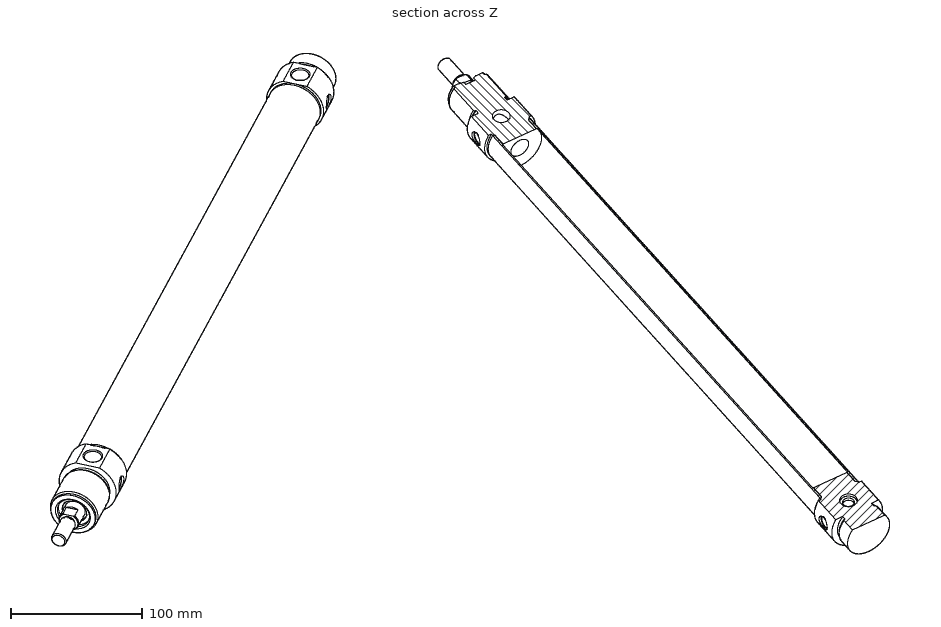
import cadquery as cq

TOTAL_LENGTH = 598.0
REAR_COLLAR_START = 16.0
FRONT_COLLAR_START = 505.0
FRONT_FACE = 564.0
ROD_SHOULDER = 574.0

COLLAR_DIA = 46.0
COLLAR_LENGTH = 24.5
NECK_LENGTH = 2.0
REAR_COLLAR_END = REAR_COLLAR_START + COLLAR_LENGTH
FRONT_COLLAR_END = FRONT_COLLAR_START + COLLAR_LENGTH

SPIGOT_DIA = 38.0
RELIEF_DIA = 36.0
RELIEF_WIDTH = 3.0
NOSE_LENGTH = 2.0
SPIGOT_CHAMFER = (SPIGOT_DIA - RELIEF_DIA) / 2
BEVEL_DIA = 37.0
BEVEL_LENGTH = 1.0

TUBE_DIA = 42.0
TUBE_BORE = 39.5
TUBE_START = REAR_COLLAR_END + NECK_LENGTH
TUBE_END = FRONT_COLLAR_START - NECK_LENGTH
PLUG_LENGTH = 12.0

FLAT_HEIGHT = TUBE_DIA / 2
PORT_DIA = 13.0
PORT_MOUTH_DIA = 15.0
PORT_CHAMFER = (PORT_MOUTH_DIA - PORT_DIA) / 2
REAR_PORT_DEPTH = 11.0
REAR_STEP_DIA = 9.0
REAR_STEP_DEPTH = 2.5

SOCKET_DIA = 9.0
SOCKET_MOUTH_DIA = 11.5
SOCKET_MOUTH_DEPTH = 2.0
SOCKET_DEPTH = 7.0

ROD_DIA = 16.0
ROD_CHAMFER = 0.5
THREAD_DIA = 12.0
THREAD_CHAMFER = 0.9
THREAD_RELIEF_DIA = 10.0
THREAD_RELIEF_WIDTH = 2.0
FLATS_WIDTH = 13.0
FLATS_START = 566.0
RECESS_DIA = 26.0
RECESS_DEPTH = 3.5
RECESS_CHAMFER = 1.0
WIPER_DIA = 20.0
WIPER_DEPTH = 2.0


def disc(diameter, start, end):
    """Solid cylinder on the Y axis between two stations."""
    return cq.Workplane("XZ", origin=(0, -start, 0)).circle(diameter / 2).extrude(end - start)


def taper(start_dia, end_dia, start, end):
    """Solid cone frustum on the Y axis between two stations."""
    start_circle = cq.Workplane("XZ", origin=(0, -start, 0)).circle(start_dia / 2)
    return start_circle.workplane(offset=end - start).circle(end_dia / 2).loft()


def mouthed_hole(plane, mouth_dia, hole_dia, depth, chamfer):
    """Cutter for a blind hole with a chamfered mouth, sunk against the plane's normal."""
    hole = cq.Workplane(plane).circle(hole_dia / 2).extrude(-depth)
    mouth = cq.Workplane(plane).circle(mouth_dia / 2).workplane(offset=-chamfer).circle(hole_dia / 2).loft()
    return hole.union(mouth)


def cut_collar(head, collar_start, port_depth):
    """Cut the top flat, the port in it and a stepped socket on each side of a collar."""
    middle = -(collar_start + COLLAR_LENGTH / 2)
    above_flat = (
        cq.Workplane("XY", origin=(0, middle, FLAT_HEIGHT)).rect(COLLAR_DIA, COLLAR_LENGTH).extrude(COLLAR_DIA)
    )
    head = head.cut(above_flat)
    port_plane = cq.Plane(origin=(0, middle, FLAT_HEIGHT), xDir=(1, 0, 0), normal=(0, 0, 1))
    head = head.cut(mouthed_hole(port_plane, PORT_MOUTH_DIA, PORT_DIA, port_depth, PORT_CHAMFER))
    for side in (-1, 1):
        side_plane = cq.Workplane("YZ", origin=(side * COLLAR_DIA / 2, middle, 0))
        head = head.cut(side_plane.circle(SOCKET_MOUTH_DIA / 2).extrude(-side * SOCKET_MOUTH_DEPTH))
        head = head.cut(side_plane.circle(SOCKET_DIA / 2).extrude(-side * SOCKET_DEPTH))
    return head


def make_rear_head():
    spigot_end = REAR_COLLAR_START - RELIEF_WIDTH
    bevel_start = spigot_end - BEVEL_LENGTH
    head = disc(SPIGOT_DIA, 0, bevel_start)
    head = head.union(taper(SPIGOT_DIA, BEVEL_DIA, bevel_start, spigot_end))
    head = head.union(disc(RELIEF_DIA, spigot_end, REAR_COLLAR_START))
    head = head.union(disc(COLLAR_DIA, REAR_COLLAR_START, REAR_COLLAR_END))
    head = head.union(disc(TUBE_DIA, REAR_COLLAR_END, TUBE_START))
    head = head.union(disc(TUBE_BORE, TUBE_START, TUBE_START + PLUG_LENGTH))
    head = cut_collar(head, REAR_COLLAR_START, REAR_PORT_DEPTH)

    port_middle = -(REAR_COLLAR_START + COLLAR_LENGTH / 2)
    port_floor = cq.Workplane("XY", origin=(0, port_middle, FLAT_HEIGHT - REAR_PORT_DEPTH))
    return head.cut(port_floor.circle(REAR_STEP_DIA / 2).extrude(-REAR_STEP_DEPTH))


def make_front_head():
    spigot_start = FRONT_COLLAR_END + RELIEF_WIDTH
    bevel_end = spigot_start + BEVEL_LENGTH
    spigot_end = FRONT_FACE - NOSE_LENGTH
    head = disc(TUBE_BORE, TUBE_END - PLUG_LENGTH, TUBE_END)
    head = head.union(disc(TUBE_DIA, TUBE_END, FRONT_COLLAR_START))
    head = head.union(disc(COLLAR_DIA, FRONT_COLLAR_START, FRONT_COLLAR_END))
    head = head.union(disc(RELIEF_DIA, FRONT_COLLAR_END, FRONT_FACE))
    head = head.union(taper(BEVEL_DIA, SPIGOT_DIA, spigot_start, bevel_end))
    head = head.union(disc(SPIGOT_DIA, bevel_end, spigot_end).faces("<Y").chamfer(SPIGOT_CHAMFER))

    head = cut_collar(head, FRONT_COLLAR_START, FLAT_HEIGHT)

    face_plane = cq.Plane(origin=(0, -FRONT_FACE, 0), xDir=(1, 0, 0), normal=(0, -1, 0))
    recess_mouth_dia = RECESS_DIA + 2 * RECESS_CHAMFER
    head = head.cut(mouthed_hole(face_plane, recess_mouth_dia, RECESS_DIA, RECESS_DEPTH, RECESS_CHAMFER))
    wiper_end = FRONT_FACE - RECESS_DEPTH
    head = head.cut(disc(WIPER_DIA, wiper_end - WIPER_DEPTH, wiper_end))
    return head.cut(disc(ROD_DIA, TUBE_END - PLUG_LENGTH, FRONT_FACE))


def make_tube():
    return disc(TUBE_DIA, TUBE_START, TUBE_END).cut(disc(TUBE_BORE, TUBE_START, TUBE_END))


def make_rod():
    rod = disc(ROD_DIA, TUBE_END - PLUG_LENGTH, ROD_SHOULDER).faces("<Y").chamfer(ROD_CHAMFER)
    beside_flats = (
        cq.Workplane("XZ", origin=(0, -FLATS_START, 0))
        .rect(2 * ROD_DIA, 2 * ROD_DIA)
        .rect(2 * ROD_DIA, FLATS_WIDTH)
        .extrude(ROD_SHOULDER - FLATS_START)
    )
    rod = rod.cut(beside_flats)
    thread_start = ROD_SHOULDER + THREAD_RELIEF_WIDTH
    rod = rod.union(disc(THREAD_RELIEF_DIA, ROD_SHOULDER, thread_start))
    return rod.union(disc(THREAD_DIA, thread_start, TOTAL_LENGTH).faces("<Y").chamfer(THREAD_CHAMFER))


rear_head = make_rear_head()
front_head = make_front_head()
tube = make_tube()
rod = make_rod()

result = cq.Compound.makeCompound([rear_head.val(), front_head.val(), tube.val(), rod.val()])